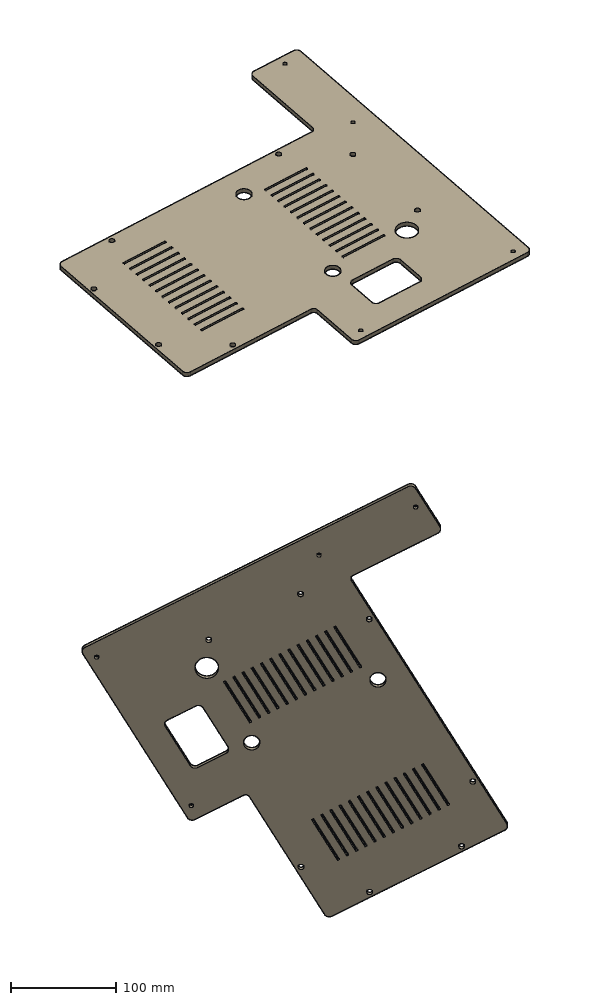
import cadquery as cq

thickness = 5.0
panel_width = 198.5
arm_length = 101.5
flange_length = 62.5
plate_height = 367.0
arm_height = 57.5
flange_height = 212.5
top_y = 206.3
outer_corner_radius = 5.0
inner_corner_radius = 4.0

panel_screw_diameter = 5.5
end_screw_spacing = 100.2
end_screw_rows_apart = 311.2
side_screw_spacing = 200.5
side_screw_columns_apart = 187.0

outer_screw_diameter = 4.0
arm_screw_y = 183.5
arm_screw_xs = (-191.2, -86.0)
flange_screw_x = 152.0
flange_screw_ys = (191.5, 8.5)

large_hole_diameter = 22.5
large_hole_center = (66.5, 130.3)
medium_hole_diameter = 15.5
medium_hole_spacing = 137.5
medium_hole_y = 39.3

window_width = 41.0
window_height = 58.5
window_center = (111.2, 70.5)
window_radius = 5.0

slot_count = 13
slot_row_span = 120.0
slot_pitch = slot_row_span / (slot_count - 1)
slot_width = 2.02
slot_length = 50.3
slot_row_x = -1.0
slot_row_ys = (84.0, -86.0)

panel_right_x = panel_width / 2
panel_left_x = -panel_right_x
arm_end_x = panel_left_x - arm_length
flange_end_x = panel_right_x + flange_length
bottom_y = top_y - plate_height
arm_bottom_y = top_y - arm_height
flange_bottom_y = top_y - flange_height


def round_corners(plate, corners, radius):
    """Round the vertical plate edges that stand at the given corner points."""
    for x, y in corners:
        corner_edge = cq.selectors.NearestToPointSelector((x, y, thickness / 2))
        plate = plate.edges("|Z").edges(corner_edge).fillet(radius)
    return plate


def make_plate():
    """Stepped plate with rounded outer corners and rounded inner corners."""
    inner_arm_corner = (panel_left_x, arm_bottom_y)
    inner_flange_corner = (panel_right_x, flange_bottom_y)
    arm_corners = [(arm_end_x, arm_bottom_y), (arm_end_x, top_y)]
    flange_corners = [(flange_end_x, top_y), (flange_end_x, flange_bottom_y)]
    bottom_corners = [(panel_right_x, bottom_y), (panel_left_x, bottom_y)]

    outline = [inner_arm_corner] + arm_corners + flange_corners + [inner_flange_corner] + bottom_corners
    plate = cq.Workplane("XY").polyline(outline).close().extrude(thickness)
    plate = round_corners(plate, arm_corners + flange_corners + bottom_corners, outer_corner_radius)
    return round_corners(plate, [inner_arm_corner, inner_flange_corner], inner_corner_radius)


def cut_round_holes(plate, centers, diameter):
    """Drill through-holes of one diameter at the given centres."""
    holes = cq.Workplane("XY").pushPoints(centers).circle(diameter / 2).extrude(thickness)
    return plate.cut(holes)


def cut_window(plate):
    """Cut the rounded rectangular window through the flange side."""
    window = (
        cq.Workplane("XY")
        .center(*window_center)
        .rect(window_width, window_height)
        .extrude(thickness)
        .edges("|Z")
        .fillet(window_radius)
    )
    return plate.cut(window)


def cut_slot_row(plate, row_y):
    """Cut one row of evenly spaced ventilation slots."""
    slots = (
        cq.Workplane("XY")
        .center(slot_row_x, row_y)
        .rarray(slot_pitch, 3.5, slot_count, 1)
        .rect(slot_width, slot_length)
        .extrude(thickness)
    )
    return plate.cut(slots)


def mirrored_points(half_x, half_y):
    """Four points mirrored about both the X and Y axes."""
    return [(x, y) for x in (-half_x, half_x) for y in (-half_y, half_y)]


end_screws = mirrored_points(end_screw_spacing / 2, end_screw_rows_apart / 2)
side_screws = mirrored_points(side_screw_columns_apart / 2, side_screw_spacing / 2)
side_screws.remove((side_screw_columns_apart / 2, side_screw_spacing / 2))
arm_screws = [(x, arm_screw_y) for x in arm_screw_xs]
flange_screws = [(flange_screw_x, y) for y in flange_screw_ys]
medium_holes = [(x, medium_hole_y) for x in (-medium_hole_spacing / 2, medium_hole_spacing / 2)]

result = make_plate()
result = cut_round_holes(result, end_screws + side_screws, panel_screw_diameter)
result = cut_round_holes(result, arm_screws + flange_screws, outer_screw_diameter)
result = cut_round_holes(result, [large_hole_center], large_hole_diameter)
result = cut_round_holes(result, medium_holes, medium_hole_diameter)
result = cut_window(result)
for slot_row_y in slot_row_ys:
    result = cut_slot_row(result, slot_row_y)